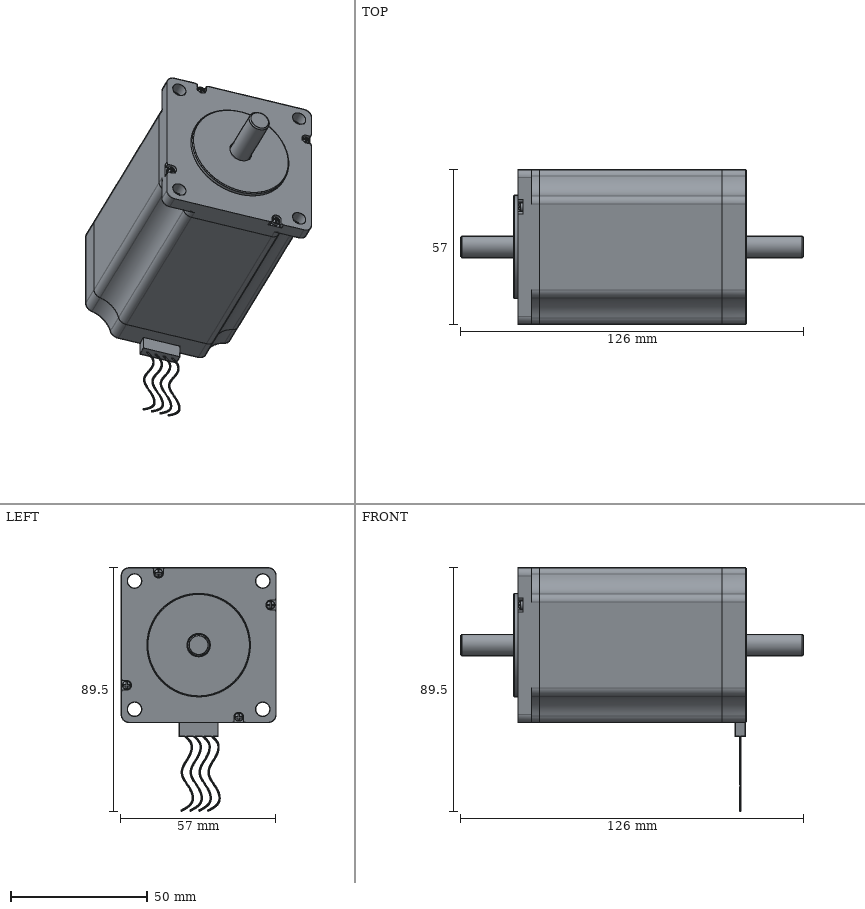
import cadquery as cq
import math

side = 57.0
half = side / 2

total_length = 126.0
shaft_overhang = 21.0
housing_length = 83.9
flange_thickness = 5.0
front_cap_length = 8.0
rear_cap_length = 9.0
rear_cap_start = housing_length - rear_cap_length

shaft_diameter = 8.0
shaft_chamfer = 0.5
front_bore_diameter = 8.6

flange_corner_radius = 3.0
mount_hole_diameter = 5.2
mount_hole_pitch = 47.1
pilot_diameter = 38.0
pilot_height = 1.6
pilot_chamfer = 0.4

scallop_radius = 10.0
scallop_blend_radius = 3.2
rear_edge_chamfer = 0.4

screw_offset = 14.7
screw_reach = 26.5
pocket_radius = 1.8
pocket_depth = 1.9
pocket_mouth_depth = 0.4
pocket_mouth_flare = 0.9
screw_head_radius = 1.5
screw_rim_height = 1.0
screw_dome_height = 0.8
screw_slot_width = 0.5
screw_slot_length = 2.3
screw_slot_depth = 0.8

connector_length = 3.8
connector_width = 14.4
connector_drop = 5.0
connector_start = housing_length - rear_edge_chamfer - connector_length
wire_count = 4
wire_pitch = 3.3
wire_diameter = 0.5
wire_root = 0.6
wire_first_bend = (2.4, 3.9)
wire_second_bend = (-1.3, 13.2)
wire_third_bend = (2.8, 22.7)
wire_tip = (-1.5, 27.3)


def scalloped_prism(start, length):
    """Square prism along X with a blended concave scallop around each corner."""
    centre_distance = scallop_radius + scallop_blend_radius
    blend_start = math.sqrt(centre_distance**2 - scallop_blend_radius**2)
    prism = cq.Workplane("YZ").workplane(offset=start).rect(side, side).extrude(length)
    blend_angle = math.asin(scallop_blend_radius / centre_distance)
    touch_deep = scallop_radius * math.cos(blend_angle)
    touch_shallow = scallop_radius * math.sin(blend_angle)
    scallop_middle = scallop_radius * math.sqrt(0.5)
    mid_angle = (math.pi / 2 - blend_angle) / 2
    mid_deep = blend_start - scallop_blend_radius * math.sin(mid_angle)
    mid_shallow = scallop_blend_radius * (1 - math.cos(mid_angle))
    corner_cut = (
        cq.Workplane("YZ")
        .workplane(offset=start)
        .moveTo(0, 0)
        .lineTo(0, -blend_start)
        .threePointArc((-mid_shallow, -mid_deep), (-touch_shallow, -touch_deep))
        .threePointArc((-scallop_middle, -scallop_middle), (-touch_deep, -touch_shallow))
        .threePointArc((-mid_deep, -mid_shallow), (-blend_start, 0))
        .close()
        .extrude(length)
        .translate((0, half, half))
    )
    for quarter in range(4):
        prism = prism.cut(corner_cut.rotate((0, 0, 0), (1, 0, 0), 90 * quarter))
    return prism


def cylinder_along_x(start, length, diameter):
    return cq.Workplane("YZ").workplane(offset=start).circle(diameter / 2).extrude(length)


def screw_pocket():
    """Arched pocket open at the top edge of the flange, with a flared mouth."""
    mouth_start = half - pocket_mouth_depth
    mouth_half_width = pocket_radius + pocket_mouth_flare
    return (
        cq.Workplane("YZ")
        .moveTo(-mouth_half_width, half)
        .lineTo(-pocket_radius, mouth_start)
        .lineTo(-pocket_radius, screw_reach)
        .threePointArc((0, screw_reach - pocket_radius), (pocket_radius, screw_reach))
        .lineTo(pocket_radius, mouth_start)
        .lineTo(mouth_half_width, half)
        .close()
        .extrude(pocket_depth)
        .translate((0, screw_offset, 0))
    )


def screw_head():
    """Domed head with a cross recess, standing on the floor of the top pocket."""
    dome_radius = (screw_head_radius**2 + screw_dome_height**2) / (2 * screw_dome_height)
    rim = pocket_depth - screw_rim_height
    top = rim - screw_dome_height
    mid_radius = screw_head_radius / 2
    mid_x = top + dome_radius - math.sqrt(dome_radius**2 - mid_radius**2)
    head = (
        cq.Workplane("XY")
        .moveTo(pocket_depth, 0)
        .lineTo(pocket_depth, screw_head_radius)
        .lineTo(rim, screw_head_radius)
        .threePointArc((mid_x, mid_radius), (top, 0))
        .close()
        .revolve(360, (0, 0, 0), (1, 0, 0))
    )
    slots = (
        cq.Workplane("YZ")
        .workplane(offset=top)
        .rect(screw_slot_length, screw_slot_width)
        .extrude(screw_slot_depth)
    )
    slots = slots.union(slots.rotate((0, 0, 0), (1, 0, 0), 90))
    return head.cut(slots).translate((0, screw_offset, screw_reach))


def make_front_cap():
    flange = (
        cq.Workplane("YZ")
        .rect(side, side)
        .extrude(flange_thickness)
        .edges("|X")
        .fillet(flange_corner_radius)
    )
    mount_holes = (
        cq.Workplane("YZ")
        .rect(mount_hole_pitch, mount_hole_pitch, forConstruction=True)
        .vertices()
        .circle(mount_hole_diameter / 2)
        .extrude(flange_thickness)
    )
    pilot = cylinder_along_x(-pilot_height, pilot_height, pilot_diameter)
    pilot = pilot.faces("<X").chamfer(pilot_chamfer)
    neck = scalloped_prism(flange_thickness, front_cap_length - flange_thickness)
    cap = flange.cut(mount_holes).union(neck).union(pilot)
    for quarter in range(4):
        turn = ((0, 0, 0), (1, 0, 0), 90 * quarter)
        cap = cap.cut(screw_pocket().rotate(*turn)).union(screw_head().rotate(*turn))
    return cap.cut(cylinder_along_x(-pilot_height, pilot_height + front_cap_length, front_bore_diameter))


def make_stator():
    length = rear_cap_start - front_cap_length
    stator = scalloped_prism(front_cap_length, length)
    return stator.cut(cylinder_along_x(front_cap_length, length, shaft_diameter))


def lead_wire(y):
    """Round wire that leaves the connector at y and waves downwards."""
    x = connector_start + connector_length / 2
    exit_z = -half - connector_drop
    bends = [wire_first_bend, wire_second_bend, wire_third_bend, wire_tip]
    points = [cq.Vector(x, y - sideways, exit_z - down) for sideways, down in bends]
    path_start = cq.Vector(x, y + wire_root, exit_z + wire_root)
    down = cq.Vector(0, 0, -1)
    start_direction = cq.Vector(0, -1, -1)
    tip_direction = cq.Vector(0, 2, -1)
    path = cq.Edge.makeSpline(
        [path_start, *points],
        tangents=[start_direction, down, down, down, tip_direction],
    )
    profile = cq.Workplane(cq.Plane(path_start, xDir=(1, 0, 0), normal=start_direction))
    return profile.circle(wire_diameter / 2).sweep(cq.Workplane(obj=path))


def make_rear_cap():
    cap = scalloped_prism(rear_cap_start, rear_cap_length)
    cap = cap.faces(">X").chamfer(rear_edge_chamfer)
    connector = cq.Workplane("XY").box(
        connector_length, connector_width, connector_drop, centered=(False, True, False)
    )
    cap = cap.union(connector.translate((connector_start, 0, -half - connector_drop)))
    for i in range(wire_count):
        cap = cap.union(lead_wire((wire_count - 1 - 2 * i) * wire_pitch / 2))
    return cap.cut(cylinder_along_x(rear_cap_start, rear_cap_length, shaft_diameter))


def make_shaft():
    shaft = cylinder_along_x(-shaft_overhang, total_length, shaft_diameter)
    return shaft.faces("<X or >X").chamfer(shaft_chamfer)


front_cap = make_front_cap()
stator = make_stator()
rear_cap = make_rear_cap()
shaft = make_shaft()

result = cq.Compound.makeCompound(
    [front_cap.val(), stator.val(), rear_cap.val(), shaft.val()]
)